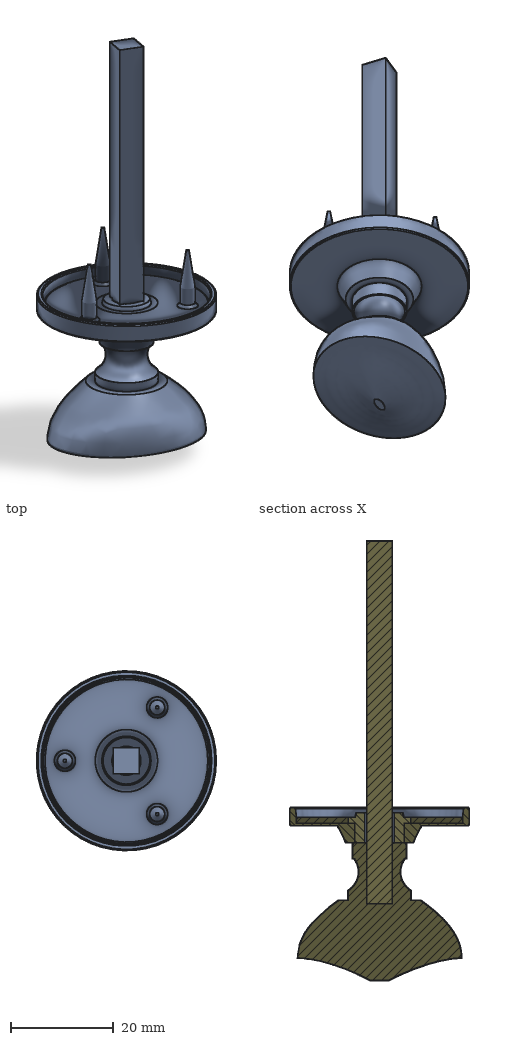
import cadquery as cq


spindle_side = 5.05
spindle_top = 51.9
spindle_bottom = -18.8

rose_diameter = 35.0
rose_radius = rose_diameter / 2
rose_height = 3.6
rose_edge_chamfer = 0.25
rim_inner_radius = 16.6
rim_inner_chamfer = 0.25
dish_floor_radius = 16.2
neck_top_radius = 8.2
neck_bottom_radius = 6.6
neck_bottom = -6.9

plate_top = -1.9
plate_thickness = 1.2
plate_bottom = plate_top - plate_thickness
plate_edge_chamfer = 0.3

flange_radius = 6.1
boss_base_radius = 4.8
boss_top_radius = 4.5
boss_height = 0.85
boss_top = plate_top + boss_height
bore_radius = 2.8

collar_radius = 5.3
collar_chamfer = 0.25
collar_bottom = -10.0
waist_top_radius = 5.0
waist_radius = 4.1
waist_height = -12.6
ring_radius = 6.2
ring_top = -16.1
ring_chamfer = 0.2
ring_bottom = -18.1

head_top_radius = 8.0
band_half_x = 12.1
band_half_y = 16.0
band_top = -28.85
band_bottom = -29.4
head_bulge_x = 1.1
head_bulge_y = 1.9
overall_height = 85.6
tip_height = spindle_top - overall_height
tip_half_x = 0.8
tip_half_y = 1.8
tip_taper_y = 1.2
loft_steps = 6

spike_count = 3
spike_circle_radius = 12.0
spike_first_angle = 60
spike_radius = 1.45
spike_foot_radius = 2.05
spike_foot_height = 0.6
spike_shoulder = 2.05
spike_tip_height = 9.6
spike_tip_radius = 0.3


def cylinder(radius, bottom, top):
    return cq.Workplane("XY").workplane(offset=bottom).circle(radius).extrude(top - bottom)


def turned(points):
    """Solid of revolution about Z from (radius, height) points."""
    return cq.Workplane("XZ").polyline(points).close().revolve(360, (0, 0, 0), (0, 1, 0))


def oval_loft(sections):
    """Smooth solid through ovals given as (half width in X, half width in Y, height)."""
    ovals = [
        cq.Wire.makeEllipse(half_y, half_x, cq.Vector(0, 0, height), cq.Vector(0, 0, 1), cq.Vector(0, 1, 0))
        for half_x, half_y, height in sections
    ]
    return cq.Workplane(cq.Solid.makeLoft(ovals))


def between(start, end, fraction):
    return start + (end - start) * fraction


def make_spindle():
    length = spindle_top - spindle_bottom
    base = cq.Workplane("XY").workplane(offset=spindle_bottom)
    return base.rect(spindle_side, spindle_side).extrude(length)


def make_rose():
    rose = turned([
        (0, neck_bottom),
        (neck_bottom_radius, neck_bottom),
        (neck_top_radius, -rose_height),
        (rose_radius - rose_edge_chamfer, -rose_height),
        (rose_radius, rose_edge_chamfer - rose_height),
        (rose_radius, -rose_edge_chamfer),
        (rose_radius - rose_edge_chamfer, 0),
        (rim_inner_radius, 0),
        (rim_inner_radius - rim_inner_chamfer, -rim_inner_chamfer),
        (dish_floor_radius, plate_top),
        (dish_floor_radius, plate_bottom),
        (0, plate_bottom),
    ])
    return rose.cut(cylinder(boss_base_radius, neck_bottom, plate_bottom))


def make_plate():
    plate = cylinder(dish_floor_radius, plate_bottom, plate_top)
    plate = plate.faces(">Z").chamfer(plate_edge_chamfer)
    return plate.cut(cylinder(flange_radius, plate_bottom, plate_top))


def make_bush():
    bush = turned([
        (0, neck_bottom),
        (boss_base_radius, neck_bottom),
        (boss_base_radius, plate_bottom),
        (flange_radius, plate_bottom),
        (flange_radius, plate_top),
        (boss_base_radius, plate_top),
        (boss_top_radius, boss_top),
        (0, boss_top),
    ])
    return bush.cut(cylinder(bore_radius, neck_bottom, boss_top)).cut(make_spindle())


def make_knob_stem():
    return (
        cq.Workplane("XZ")
        .moveTo(0, neck_bottom)
        .lineTo(collar_radius - collar_chamfer, neck_bottom)
        .lineTo(collar_radius, neck_bottom - collar_chamfer)
        .lineTo(collar_radius, collar_bottom)
        .lineTo(waist_top_radius, collar_bottom)
        .threePointArc((waist_radius, waist_height), (ring_radius - ring_chamfer, ring_top))
        .lineTo(ring_radius, ring_top - ring_chamfer)
        .lineTo(ring_radius, ring_bottom)
        .lineTo(0, ring_bottom)
        .close()
        .revolve(360, (0, 0, 0), (0, 1, 0))
    )


def head_section(fraction):
    """Oval of the swelling side, from the band (0) up to the round top (1)."""
    swell = 4 * fraction * (1 - fraction)
    return (
        between(band_half_x, head_top_radius, fraction) + head_bulge_x * swell,
        between(band_half_y, head_top_radius, fraction) + head_bulge_y * swell,
        between(band_top, ring_bottom, fraction),
    )


def underside_section(fraction):
    """Oval of the hollowed underside, from the band (0) down to the tip (1)."""
    return (
        between(band_half_x, tip_half_x, fraction),
        between(band_half_y, tip_half_y, fraction**tip_taper_y),
        between(band_bottom, tip_height, fraction**2),
    )


def make_knob():
    steps = [step / loft_steps for step in range(loft_steps + 1)]
    side = oval_loft([head_section(step) for step in steps])
    underside = oval_loft([underside_section(step) for step in steps])
    band = (
        cq.Workplane("XY")
        .workplane(offset=band_bottom)
        .ellipse(band_half_x, band_half_y)
        .extrude(band_top - band_bottom)
    )
    return make_knob_stem().union(side).union(band).union(underside).cut(make_spindle())


def make_spikes():
    spike = turned([
        (0, plate_top),
        (spike_foot_radius, plate_top),
        (spike_radius, plate_top + spike_foot_height),
        (spike_radius, spike_shoulder),
        (spike_tip_radius, spike_tip_height),
        (0, spike_tip_height),
    ]).translate((spike_circle_radius, 0, 0))
    spikes = []
    for index in range(spike_count):
        angle = spike_first_angle + index * 360 / spike_count
        spikes.append(spike.rotate((0, 0, 0), (0, 0, 1), angle))
    return spikes


spindle = make_spindle()
rose = make_rose()
plate = make_plate()
bush = make_bush()
knob = make_knob()
spikes = make_spikes()

result = cq.Compound.makeCompound([
    spindle.solids().val(),
    rose.solids().val(),
    plate.solids().val(),
    bush.solids().val(),
    knob.solids().val(),
    *[spike.val() for spike in spikes],
])